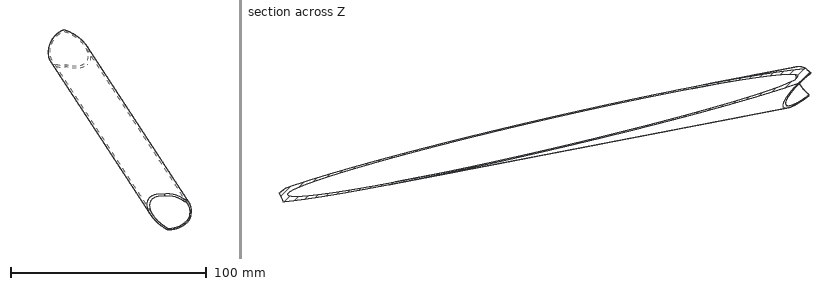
import cadquery as cq
import math

outer_diameter = 20.0
wall = 1.0

heading = -30.0
rise_per_x = 0.0764

right_joint_x = 247.5

front_face_skew = 0.06
far_face_offset = 6.8

upper_face_slopes = (0.95, -0.42)
lower_face_slopes = (-0.1, 0.5)
far_face_slopes = (-1.07, 0)

trim_size = 1007.8
overrun = 50.5

forward = cq.Vector(math.cos(math.radians(heading)), math.sin(math.radians(heading)), 0)
sideways = cq.Vector(-forward.y, forward.x, 0)
up = cq.Vector(0, 0, 1)
axis_per_x = cq.Vector(1, forward.y / forward.x, rise_per_x)
left_joint = cq.Vector(0, 0, 0)
right_joint = axis_per_x * right_joint_x


def long_tube():
    """Make a hollow tube that runs past both joints."""
    direction = axis_per_x.normalized()
    length = right_joint.Length + 2 * overrun
    start = left_joint - direction * overrun
    section = cq.Workplane(cq.Plane(start, xDir=sideways, normal=direction))
    outer_radius = outer_diameter / 2
    return section.circle(outer_radius).circle(outer_radius - wall).extrude(length)


def trim(body, point, outward):
    """Remove everything beyond the plane through point, on its outward side."""
    plane = cq.Plane(point, normal=outward)
    waste = cq.Workplane(plane).rect(trim_size, trim_size).extrude(trim_size)
    return body.cut(waste)


def sloped_normal(slopes):
    """Normal of a plane whose forward reach changes with side offset and height."""
    side_slope, height_slope = slopes
    return forward - sideways * side_slope - up * height_slope


result = trim(long_tube(), left_joint, cq.Vector(0, 1, 0))
result = trim(result, left_joint, cq.Vector(-1, 0, -rise_per_x))

result = trim(result, right_joint, cq.Vector(-front_face_skew, -1, 0))
result = trim(result, right_joint, sloped_normal(upper_face_slopes))
result = trim(result, right_joint, sloped_normal(lower_face_slopes))

result = trim(result, right_joint + forward * far_face_offset, sloped_normal(far_face_slopes))